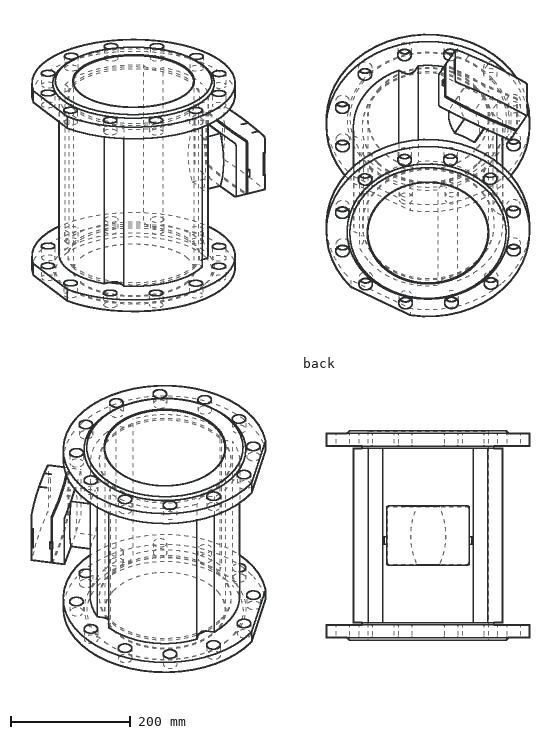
import cadquery as cq

total_height = 350.0
box_outer_y = 216.0

bore_radius = 100.5
bore_chamfer = 1.0
pipe_radius = 110.0
flange_diameter = 339.5
flange_flat_y = -159.8
flange_thickness = 21.5
face_root_radius = 135.0
face_height = 4.5
bolt_count = 12
bolt_circle_radius = 147.7
bolt_hole_diameter = 22.5

housing_diameter = 249.3
flange_gap = 3.8
notch_corner = 75.2
notch_fillet = 14.3

neck_half_width = 29.5
neck_end_half_width = 18.8
neck_half_height = 48.5

box_width = 138.5
box_height = 99.0
box_inner_y = 156.0
box_inner_rise = 1.5
box_edge_radius = 4.0
lid_face_rise = 3.0
split_y = 179.7
split_sag = 3.0
seam_width = 1.5
seam_depth = 1.5

lug_reach = 4.0
lug_width = 4.5
lug_height = 12.0
lug_top_z = -2.3
side_recess_length = 40.5
side_recess_width = 3.5
top_recess_length = 36.5
top_recess_width = 10.0
top_recess_slope = 3.0
top_recess_start_x = 7.5
recess_depth = 0.5

half_height = total_height / 2
flange_radius = flange_diameter / 2
housing_radius = housing_diameter / 2
flange_top = half_height - face_height
flange_bottom = flange_top - flange_thickness
housing_half_height = flange_bottom - flange_gap
half_width = box_width / 2
half_box_height = box_height / 2
lug_y = split_y - seam_width / 2
lid_edge_y = box_outer_y - lid_face_rise
box_inner_edge_y = box_inner_y + box_inner_rise


def cylinder(radius, bottom, top):
    """Solid cylinder on the pipe axis."""
    return cq.Workplane("XY").workplane(offset=bottom).circle(radius).extrude(top - bottom)


def cone(bottom_radius, top_radius, bottom, top):
    """Solid truncated cone on the pipe axis."""
    return cq.Workplane(
        cq.Solid.makeCone(bottom_radius, top_radius, top - bottom, pnt=cq.Vector(0, 0, bottom))
    )


def make_flange():
    """Upper flange with its flat, bolt holes and tapered sealing face."""
    flange = cylinder(flange_radius, flange_bottom, flange_top)
    below_flat = cq.Workplane("XY").box(
        2 * flange_radius, flange_radius, total_height, centered=(True, False, True)
    ).translate((0, flange_flat_y - flange_radius, 0))
    holes = (
        cq.Workplane("XY")
        .workplane(offset=flange_bottom)
        .polarArray(bolt_circle_radius, 180 / bolt_count, 360, bolt_count)
        .circle(bolt_hole_diameter / 2)
        .extrude(flange_thickness)
    )
    sealing_face = cone(face_root_radius, face_root_radius - face_height, flange_top, half_height)
    return flange.cut(below_flat).cut(holes).union(sealing_face)


def make_housing():
    """Coil housing with a rounded corner notch in each of its four quadrants."""
    housing = cylinder(housing_radius, -housing_half_height, housing_half_height)
    notch = (
        cq.Workplane("XY")
        .box(housing_radius, housing_radius, 2 * housing_half_height, centered=(False, False, True))
        .edges("|Z and <X and <Y")
        .fillet(notch_fillet)
        .translate((notch_corner, notch_corner, 0))
    )
    for quadrant in range(4):
        housing = housing.cut(notch.rotate((0, 0, 0), (0, 0, 1), 90 * quadrant))
    return housing


def make_neck():
    """Neck from the pipe axis to the bowed back of the terminal box."""
    neck = (
        cq.Workplane("XZ")
        .moveTo(-neck_end_half_width, neck_half_height)
        .lineTo(neck_end_half_width, neck_half_height)
        .threePointArc((neck_half_width, 0), (neck_end_half_width, -neck_half_height))
        .lineTo(-neck_end_half_width, -neck_half_height)
        .threePointArc((-neck_half_width, 0), (-neck_end_half_width, neck_half_height))
        .close()
        .extrude(-box_inner_edge_y)
    )
    return neck.cut(make_box_base())


def make_bore():
    """Through bore, widened by a small chamfer at both ends."""
    bore = cylinder(bore_radius, -half_height, half_height)
    mouth = cone(bore_radius, bore_radius + bore_chamfer, half_height - bore_chamfer, half_height)
    return bore.union(mouth).union(mouth.mirror("XY"))


def make_meter_body():
    """Pipe, flanges, coil housing and neck as one bored body."""
    flange = make_flange()
    body = cylinder(pipe_radius, -flange_bottom, flange_bottom)
    body = body.union(make_housing()).union(make_neck())
    body = body.union(flange).union(flange.mirror("XY"))
    return body.cut(make_bore())


def make_box_base():
    """Terminal box base, with a bowed back and a rim hollowed by a shallow arc."""
    base = (
        cq.Workplane("XY")
        .workplane(offset=-half_box_height)
        .moveTo(-half_width, box_inner_edge_y)
        .threePointArc((0, box_inner_y), (half_width, box_inner_edge_y))
        .lineTo(half_width, split_y)
        .threePointArc((0, split_y - split_sag), (-half_width, split_y))
        .close()
        .extrude(box_height)
        .edges("|Y")
        .fillet(box_edge_radius)
    )
    return base.cut(make_seam())


def make_seam():
    """Shallow groove around the box, on the base side of the split."""
    seam_inner_y = split_y - seam_width
    band = (
        cq.Workplane("XY")
        .workplane(offset=-half_box_height)
        .moveTo(-half_width, seam_inner_y)
        .threePointArc((0, seam_inner_y - split_sag), (half_width, seam_inner_y))
        .lineTo(half_width, split_y)
        .threePointArc((0, split_y - split_sag), (-half_width, split_y))
        .close()
        .extrude(box_height)
    )
    core = cq.Workplane("XY").box(
        box_width - 2 * seam_depth, 2 * box_outer_y, box_height - 2 * seam_depth
    )
    return band.cut(core)


def make_lid():
    """Lens-shaped lid with a lug on each end and shallow recesses at its outer edge."""
    lid = (
        cq.Workplane("XY")
        .workplane(offset=-half_box_height)
        .moveTo(-half_width, split_y)
        .threePointArc((0, split_y - split_sag), (half_width, split_y))
        .lineTo(half_width, lid_edge_y)
        .threePointArc((0, box_outer_y), (-half_width, lid_edge_y))
        .close()
        .extrude(box_height)
        .edges("|Y")
        .fillet(box_edge_radius)
    )
    for side in (-1, 1):
        lug = cq.Workplane("XY").box(lug_reach, lug_width, lug_height).translate(
            (side * (half_width + lug_reach / 2), lug_y, lug_top_z - lug_height / 2)
        )
        side_recess = cq.Workplane("XY").box(
            2 * recess_depth, 2 * side_recess_width, side_recess_length
        ).translate((side * half_width, lid_edge_y, 0))
        lid = lid.union(lug).cut(side_recess)
    return lid.cut(make_top_recess())


def make_top_recess():
    """Cutter for the recess in the top of the lid, with a sloping inner end."""
    floor_z = half_box_height - recess_depth
    floor_end_y = box_outer_y - top_recess_width
    return (
        cq.Workplane("YZ")
        .workplane(offset=top_recess_start_x)
        .moveTo(box_outer_y, half_box_height)
        .lineTo(box_outer_y, floor_z)
        .lineTo(floor_end_y, floor_z)
        .lineTo(floor_end_y - top_recess_slope, half_box_height)
        .close()
        .extrude(top_recess_length)
    )


meter_body = make_meter_body()
box_base = make_box_base()
lid = make_lid()

result = cq.Compound.makeCompound([meter_body.val(), box_base.val(), lid.val()])